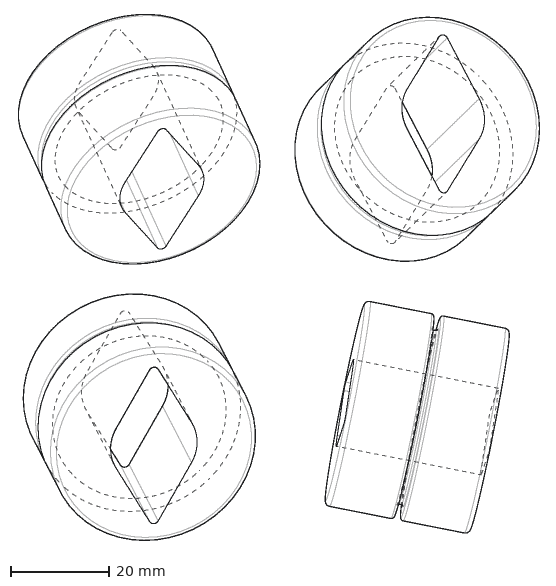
import cadquery as cq
import math

outer_diameter = 42.5
length = 30.0
end_round = 1.0

groove_width = 1.35
groove_diameter = 36.12
groove_edge_round = 0.6
groove_floor_round = 0.42

bore_height = 34.5
bore_width = 17.95
tip_radius = 1.0
side_radius = 8.95
flank_angle = 29.5


def make_body():
    """Cylinder with rounded ends, centred on the origin."""
    cylinder = cq.Workplane("YZ").circle(outer_diameter / 2).extrude(length / 2, both=True)
    return cylinder.faces("<X or >X").edges().fillet(end_round)


def make_groove_cutter():
    """Ring with a rounded floor and a mouth that flares into the outer surface."""
    half_width = groove_width / 2
    rim = outer_diameter / 2
    floor = groove_diameter / 2
    diagonal = math.sqrt(0.5)
    mouth = half_width + groove_edge_round
    edge_mid = (mouth - groove_edge_round * diagonal, rim - groove_edge_round * (1 - diagonal))
    floor_flat = half_width - groove_floor_round
    floor_mid = (
        floor_flat + groove_floor_round * diagonal,
        floor + groove_floor_round * (1 - diagonal),
    )
    half_profile = (
        cq.Workplane("XY")
        .moveTo(0, floor)
        .lineTo(floor_flat, floor)
        .threePointArc(floor_mid, (half_width, floor + groove_floor_round))
        .lineTo(half_width, rim - groove_edge_round)
        .threePointArc(edge_mid, (mouth, rim))
        .lineTo(0, rim)
        .close()
    )
    half_ring = half_profile.revolve(360, (0, 0, 0), (1, 0, 0))
    return half_ring.union(half_ring.mirror("YZ"))


def make_bore_cutter():
    """Diamond prism whose flanks are tangent to the tip and side arcs."""
    angle = math.radians(flank_angle)
    normal_y = math.cos(angle)
    normal_z = math.sin(angle)
    tip_center = bore_height / 2 - tip_radius
    side_center = bore_width / 2 - side_radius
    tip_y = tip_radius * normal_y
    tip_z = tip_center + tip_radius * normal_z
    side_y = side_center + side_radius * normal_y
    side_z = side_radius * normal_z
    return (
        cq.Workplane("YZ")
        .moveTo(-tip_y, tip_z)
        .threePointArc((0, bore_height / 2), (tip_y, tip_z))
        .lineTo(side_y, side_z)
        .threePointArc((bore_width / 2, 0), (side_y, -side_z))
        .lineTo(tip_y, -tip_z)
        .threePointArc((0, -bore_height / 2), (-tip_y, -tip_z))
        .lineTo(-side_y, -side_z)
        .threePointArc((-bore_width / 2, 0), (-side_y, side_z))
        .close()
        .extrude(length, both=True)
    )


result = make_body().cut(make_groove_cutter()).cut(make_bore_cutter())